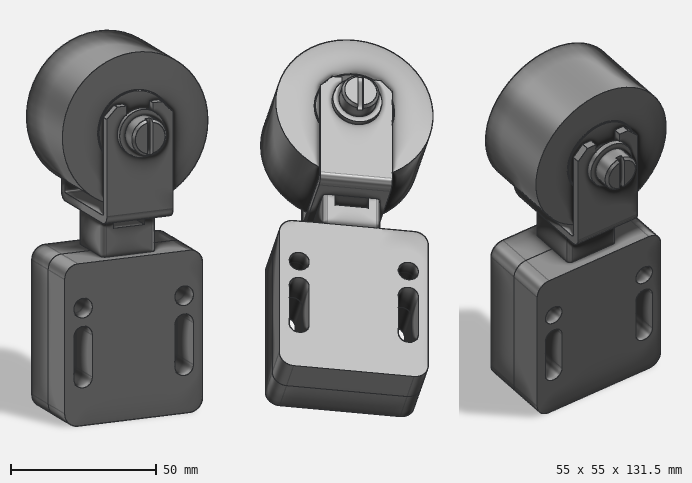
import cadquery as cq


wheel_diameter = 55.0
wheel_width = 30.0
overall_height = 131.5
axle_height = overall_height - wheel_diameter / 2
hub_diameter = 28.0
hub_chamfer = 0.4
neck_diameter = 10.0
collar_diameter = 17.1
collar_thickness = 2.0
spindle_length = 55.0
tip_diameter = 13.0
tip_chamfer = 0.9
driver_slot_width = 2.0
driver_slot_depth = 2.1

bracket_width = 38.0
bracket_depth = 25.0
sheet_thickness = 2.9
bracket_bottom = 71.9
arm_rise_above_axle = 9.9
bracket_height = axle_height + arm_rise_above_axle - bracket_bottom
bend_inner_radius = 0.9
bend_outer_radius = 3.3
fork_chamfer = 4.0

block_width = 27.5
block_depth = 52.1
block_height = 58.0
block_corner_radius = 5.0
mount_spacing = 38.1
mount_diameter = 7.0
mount_hole_height = 42.0
mount_slot_length = 22.0
mount_slot_height = 24.5

post_side = 20.0
post_edge_radius = 1.5
post_height = bracket_bottom - block_height
window_width = 11.7
window_height = 4.0
window_throat_height = 1.2
window_lead_in = 4.1


def cylinder_along_x(diameter, x_start, x_end):
    """Solid cylinder on the wheel axis."""
    return (
        cq.Workplane("YZ", origin=(x_start, 0, axle_height))
        .circle(diameter / 2)
        .extrude(x_end - x_start)
    )


def make_wheel():
    """Plain cylindrical wheel bored for the spindle hub."""
    bore = cylinder_along_x(hub_diameter, -wheel_width / 2, wheel_width / 2)
    return cylinder_along_x(wheel_diameter, -wheel_width / 2, wheel_width / 2).cut(bore)


def make_spindle():
    """One turned piece: hub, necks in the fork slots, outer collars and slotted tips."""
    half_length = spindle_length / 2
    collar_inner = bracket_width / 2
    collar_outer = collar_inner + collar_thickness

    hub = cylinder_along_x(hub_diameter, -wheel_width / 2, wheel_width / 2)
    hub = hub.faces("<X or >X").chamfer(hub_chamfer)
    tips = cylinder_along_x(tip_diameter, -half_length, half_length)
    tips = tips.faces("<X or >X").chamfer(tip_chamfer)
    collars = cylinder_along_x(collar_diameter, -collar_outer, collar_outer)
    neck_gap = cylinder_along_x(collar_diameter, -collar_inner, collar_inner)
    neck = cylinder_along_x(neck_diameter, -collar_inner, collar_inner)
    spindle = tips.union(collars).cut(neck_gap).union(neck).union(hub)

    for side in (-1, 1):
        driver_slot = cq.Workplane("XY").box(2 * driver_slot_depth, driver_slot_width, tip_diameter)
        spindle = spindle.cut(driver_slot.translate((side * half_length, 0, axle_height)))
    return spindle


def make_bracket():
    """U-bent sheet whose two arms have open-topped slots for the spindle necks."""
    inner_width = bracket_width - 2 * sheet_thickness
    bracket = (
        cq.Workplane("XY", origin=(0, 0, bracket_bottom))
        .box(bracket_width, bracket_depth, bracket_height, centered=(True, True, False))
        .edges("|Y and <Z")
        .fillet(bend_outer_radius)
    )
    inside = (
        cq.Workplane("XY", origin=(0, 0, bracket_bottom + sheet_thickness))
        .box(inner_width, bracket_depth, bracket_height, centered=(True, True, False))
        .edges("|Y and <Z")
        .fillet(bend_inner_radius)
    )
    bracket = bracket.cut(inside).edges("|X and >Z").chamfer(fork_chamfer)

    neck_seat = cylinder_along_x(neck_diameter, -bracket_width / 2, bracket_width / 2)
    slot_mouth = cq.Workplane("XY", origin=(0, 0, axle_height)).box(
        bracket_width, neck_diameter, bracket_height, centered=(True, True, False)
    )
    return bracket.cut(neck_seat).cut(slot_mouth)


def make_post():
    """Square post; the window's ceiling slopes down from both outer faces to a low throat."""
    post = (
        cq.Workplane("XY", origin=(0, 0, block_height))
        .box(post_side, post_side, post_height, centered=(True, True, False))
        .edges("|Z")
        .fillet(post_edge_radius)
    )
    half_side = post_side / 2
    throat_end = half_side - window_lead_in
    window_sill = bracket_bottom - window_height
    throat_ceiling = window_sill + window_throat_height
    window = (
        cq.Workplane("XZ")
        .polyline(
            [
                (-half_side, window_sill),
                (half_side, window_sill),
                (half_side, bracket_bottom),
                (throat_end, throat_ceiling),
                (-throat_end, throat_ceiling),
                (-half_side, bracket_bottom),
            ]
        )
        .close()
        .extrude(window_width / 2, both=True)
    )
    return post.cut(window)


def make_block_half(side):
    """Half of the clamp block on one side of the X = 0 joint, with its mounting openings."""
    half_width = block_width / 2
    half = (
        cq.Workplane("XY")
        .box(half_width, block_depth, block_height, centered=(True, True, False))
        .edges("|X")
        .fillet(block_corner_radius)
    )
    hole_centers = [(-mount_spacing / 2, mount_hole_height), (mount_spacing / 2, mount_hole_height)]
    slot_centers = [(-mount_spacing / 2, mount_slot_height), (mount_spacing / 2, mount_slot_height)]
    openings = (
        cq.Workplane("YZ")
        .pushPoints(hole_centers)
        .circle(mount_diameter / 2)
        .pushPoints(slot_centers)
        .slot2D(mount_slot_length, mount_diameter, 90)
        .extrude(half_width / 2, both=True)
    )
    return half.cut(openings).translate((side * half_width / 2, 0, 0))


wheel = make_wheel()
spindle = make_spindle()
bracket = make_bracket()
post = make_post()
block_halves = [make_block_half(side) for side in (-1, 1)]

result = cq.Compound.makeCompound(
    [
        wheel.val(),
        spindle.val(),
        bracket.val(),
        post.val(),
        *[half.val() for half in block_halves],
    ]
)